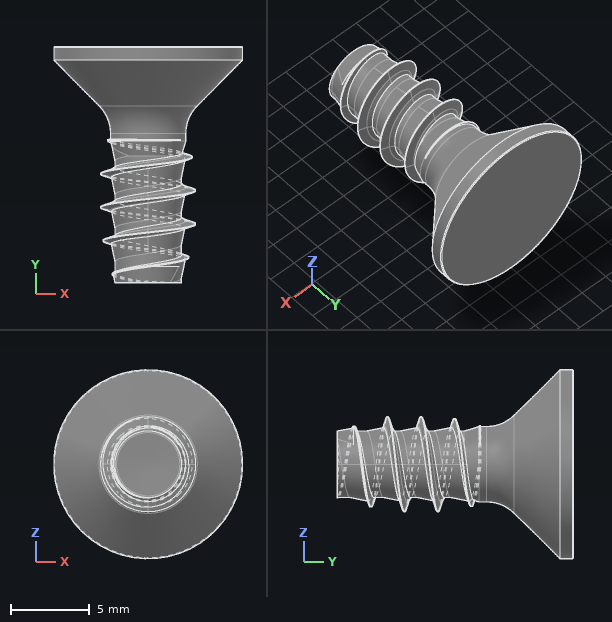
import cadquery as cq
import math

length = 15.0

head_radius = 6.0
rim_chamfer = 0.06
cone_start_depth = 0.85
neck_depth = 5.5
neck_fillet = 2.46
cone_half_angle = math.radians(45)

shank_radius = 2.4
shank_end_depth = 6.0
core_radius = 2.12
core_start_depth = 6.93

tip_cone_depth = 13.95
tip_cone_radius = 2.31
tip_radius = core_radius

dimple_radius = 2.01
dimple_depth = 0.12

pitch = 2.13
thread_start_depth = 5.94
crest_radius = 3.02
start_crest_radius = 2.58
fade_in_turns = 1.0
fade_out_start_turn = 2.75
fade_out_per_turn = 0.58

crest_half_width = 0.03
flank_half_width = 0.21
flank_drop = 0.6
foot_half_width = 0.5
foot_drop = 1.05
rib_first_turn = -0.5
rib_last_turn = 4.5

land_top_radius = 2.38
land_width = 1.68
land_end_radius = 2.04
land_base_radius = 1.88
land_first_turn = -0.25
land_last_turn = 4.5

turn_step = 0.25
points_per_edge = 5


def helix_edge(first_turn, last_turn, depth_at, radius_at):
    """Spline whose depth and radius are functions of the turn number."""
    points = []
    turns = []
    for i in range(points_per_edge):
        turn = first_turn + (last_turn - first_turn) * i / (points_per_edge - 1)
        angle = math.pi + 2 * math.pi * turn
        radius = radius_at(turn)
        turns.append(turn)
        points.append(cq.Vector(radius * math.cos(angle), -depth_at(turn), radius * math.sin(angle)))
    return cq.Edge.makeSpline(points, parameters=turns)


def helical_solid(first_turn, last_turn, section):
    """Solid whose section corners, given as (depth, radius) functions of the turn, wind round Y."""
    step_count = round((last_turn - first_turn) / turn_step)
    faces = []
    for step in range(step_count):
        start = first_turn + step * turn_step
        edges = [helix_edge(start, start + turn_step, *corner) for corner in section]
        for i, edge in enumerate(edges):
            faces.append(cq.Face.makeRuledSurface(edges[i - 1], edge))
        if step == 0:
            faces.append(end_face(edges, 0))
    faces.append(end_face(edges, 1))
    return cq.Solid.makeSolid(cq.Shell.makeShell(faces)).fix()


def end_face(edges, end):
    """Flat face across the start (0) or finish (1) of the edges."""
    corners = [edge.positionAt(end) for edge in edges]
    return cq.Face.makeFromWires(cq.Wire.makePolygon(corners, close=True))


def rib_depth(turn):
    """The rib runs in level with the shank end, then follows the pitch."""
    return thread_start_depth + pitch * max(turn, 0)


def rib_crest_radius(turn):
    """Crest rises over the run-in, stays level, then sinks towards the tip."""
    rising = start_crest_radius + (crest_radius - start_crest_radius) * turn / fade_in_turns
    falling = crest_radius - fade_out_per_turn * (turn - fade_out_start_turn)
    return min(rising, crest_radius, falling)


def make_body():
    """Head, filleted neck, shank and plain thread core, turned about Y."""
    neck_start_depth = neck_depth - neck_fillet * math.sin(cone_half_angle)
    neck_start_radius = shank_radius + neck_fillet * (1 - math.cos(cone_half_angle))
    neck_middle_angle = cone_half_angle / 2
    neck_middle = (
        shank_radius + neck_fillet * (1 - math.cos(neck_middle_angle)),
        -(neck_depth - neck_fillet * math.sin(neck_middle_angle)),
    )
    return (
        cq.Workplane("XY")
        .lineTo(head_radius - rim_chamfer, 0)
        .lineTo(head_radius, -rim_chamfer)
        .lineTo(head_radius, -cone_start_depth)
        .lineTo(neck_start_radius, -neck_start_depth)
        .threePointArc(neck_middle, (shank_radius, -neck_depth))
        .lineTo(shank_radius, -shank_end_depth)
        .lineTo(core_radius, -core_start_depth)
        .lineTo(core_radius, -length)
        .lineTo(dimple_radius, -length)
        .lineTo(0, dimple_depth - length)
        .close()
        .revolve(360, (0, 0, 0), (0, 1, 0))
    )


def rib_corner(offset, drop):
    """Corner at an axial offset from the crest centre and a drop below the crest."""
    return (
        lambda turn: rib_depth(turn) + offset,
        lambda turn: rib_crest_radius(turn) - drop,
    )


def make_rib():
    """Helical rib with a sharp crest on a wider foot buried in the core."""
    section = [
        (-foot_half_width, foot_drop),
        (-flank_half_width, flank_drop),
        (-crest_half_width, 0),
        (crest_half_width, 0),
        (flank_half_width, flank_drop),
        (foot_half_width, foot_drop),
    ]
    corners = [rib_corner(offset, drop) for offset, drop in section]
    return helical_solid(rib_first_turn, rib_last_turn, corners)


def land_corner(offset, radius):
    """Corner of constant radius at an axial offset from the rib centre."""
    return (
        lambda turn: thread_start_depth + pitch * turn + offset,
        lambda turn: radius,
    )


def make_land():
    """Helical wedge that slopes from the rib down into the core."""
    section = [
        (0, land_base_radius),
        (0, land_top_radius),
        (land_width, land_end_radius),
        (land_width, land_base_radius),
    ]
    corners = [land_corner(offset, radius) for offset, radius in section]
    return helical_solid(land_first_turn, land_last_turn, corners)


def beyond_tip():
    """Cutter that trims everything to the tip face with its cone-shaped dimple."""
    return (
        cq.Workplane("XY")
        .moveTo(0, dimple_depth - length)
        .lineTo(dimple_radius, -length)
        .lineTo(head_radius, -length)
        .lineTo(head_radius, -2 * length)
        .lineTo(0, -2 * length)
        .close()
        .revolve(360, (0, 0, 0), (0, 1, 0))
    )


def outside_tip_cone():
    """Ring-shaped cutter that leaves the land tapered at the tip."""
    return (
        cq.Workplane("XY")
        .moveTo(tip_cone_radius, -tip_cone_depth)
        .lineTo(head_radius, -tip_cone_depth)
        .lineTo(head_radius, -length)
        .lineTo(tip_radius, -length)
        .close()
        .revolve(360, (0, 0, 0), (0, 1, 0))
    )


land = cq.Workplane(make_land()).cut(beyond_tip()).cut(outside_tip_cone())
rib = cq.Workplane(make_rib()).cut(beyond_tip())

result = make_body().union(land).union(rib)